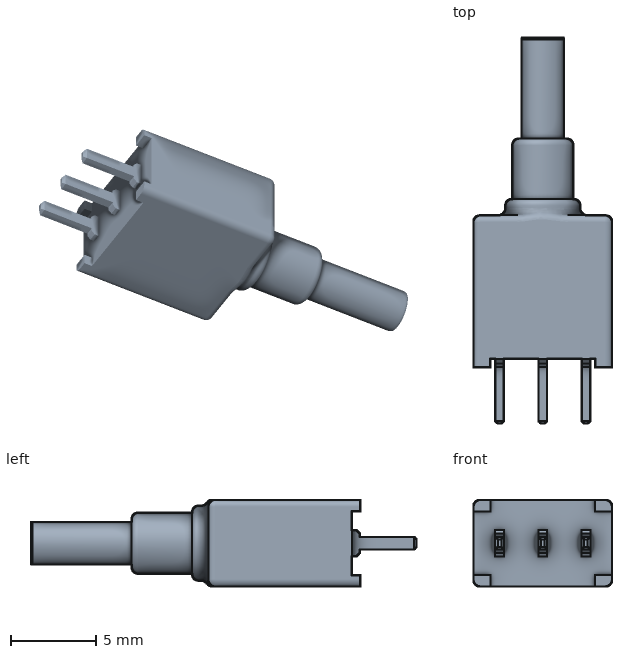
import cadquery as cq

case_width = 8.13
case_height = 5.08
case_length = 8.9
edge_radius = 0.4
front_margin = 0.02
foot_width = 1.0
foot_height = 0.68
foot_length = 0.5

collar_diameter = 4.4
collar_length = 0.95
collar_round = 0.38
bushing_diameter = 3.6
bushing_length = 3.55
bushing_round = 0.4

plunger_diameter = 2.5
plunger_end_diameter = 2.45
plunger_length = 5.9
plunger_taper_length = 0.1

terminal_pitch = 2.53
terminal_width = 0.52
terminal_height = 0.75
terminal_tip_chamfer = 0.15
shoulder_height = 1.54
shoulder_length = 0.47
shoulder_chamfer = 0.2

overall_length = 22.6

bushing_end = collar_length + bushing_length
rear_face = foot_length - case_length
terminal_end = bushing_end + plunger_length - overall_length
terminal_length = rear_face - terminal_end


def cylinder_along_y(diameter, start, length):
    """Solid cylinder on the Y axis, growing toward +Y."""
    return cq.Workplane("XZ", origin=(0, start, 0)).circle(diameter / 2).extrude(-length)


def box_along_y(width, height, start, length, x=0):
    """Box centred on x and on Z = 0, growing toward +Y."""
    return cq.Workplane("XZ", origin=(x, start, 0)).rect(width, height).extrude(-length)


def make_flare():
    """Concave flare between the collar and the case, trimmed to the case height."""
    collar_radius = collar_diameter / 2
    flare_radius = collar_radius + edge_radius
    diagonal = edge_radius * 0.5 ** 0.5
    flare = (
        cq.Workplane("XY")
        .moveTo(0, -edge_radius)
        .lineTo(flare_radius, -edge_radius)
        .lineTo(flare_radius, 0)
        .threePointArc((flare_radius - diagonal, edge_radius - diagonal), (collar_radius, edge_radius))
        .lineTo(0, edge_radius)
        .close()
        .revolve(360, (0, 0, 0), (0, 1, 0))
    )
    return flare.intersect(box_along_y(case_width, case_height, -case_length, 2 * case_length))


def make_case():
    """Rounded case body with the collar flare on its front."""
    case = box_along_y(case_width, case_height, -case_length, case_length)
    case = case.edges("|Y").fillet(edge_radius)
    case = case.union(make_flare())
    front_band = cq.selectors.BoxSelector(
        (-case_width, -front_margin, -case_height), (case_width, front_margin, case_height)
    )
    front_edges = case.faces("<Z or >Z or <X or >X").edges(front_band)
    return front_edges.fillet(edge_radius)


def cut_between_feet(case):
    """Clear the rear of the case, leaving a foot at each corner."""
    inner_width = case_width - 2 * foot_width
    inner_height = case_height - 2 * foot_height
    case = case.cut(box_along_y(inner_width, case_height, -case_length, foot_length))
    return case.cut(box_along_y(case_width, inner_height, -case_length, foot_length))


def make_bushing():
    """Bushing with its thicker collar, both rounded at the front."""
    collar = cylinder_along_y(collar_diameter, 0, collar_length).faces(">Y").edges().fillet(collar_round)
    bushing = cylinder_along_y(bushing_diameter, 0, bushing_end).faces(">Y").edges().fillet(bushing_round)
    return collar.union(bushing)


def make_terminal(x):
    """Flat terminal with a chamfered shoulder at the case and a tapered tip."""
    pin = box_along_y(terminal_width, terminal_height, terminal_end, terminal_length, x)
    pin = pin.faces("<Y").edges().chamfer(terminal_tip_chamfer)
    shoulder = box_along_y(terminal_width, shoulder_height, rear_face - shoulder_length, shoulder_length, x)
    shoulder = shoulder.faces("<Y").edges("|X").chamfer(shoulder_chamfer)
    return pin.union(shoulder)


def make_housing():
    """Case, bushing and terminals as one body."""
    housing = cut_between_feet(make_case()).union(make_bushing())
    for position in (-1, 0, 1):
        housing = housing.union(make_terminal(position * terminal_pitch))
    return housing


def make_plunger():
    """Round plunger on the front face of the bushing, slightly tapered at its free end."""
    plunger = cylinder_along_y(plunger_diameter, bushing_end, plunger_length)
    taper_depth = (plunger_diameter - plunger_end_diameter) / 2
    return plunger.faces(">Y").edges().chamfer(plunger_taper_length, taper_depth)


housing = make_housing()
plunger = make_plunger()
result = cq.Compound.makeCompound([housing.solids().val(), plunger.solids().val()])